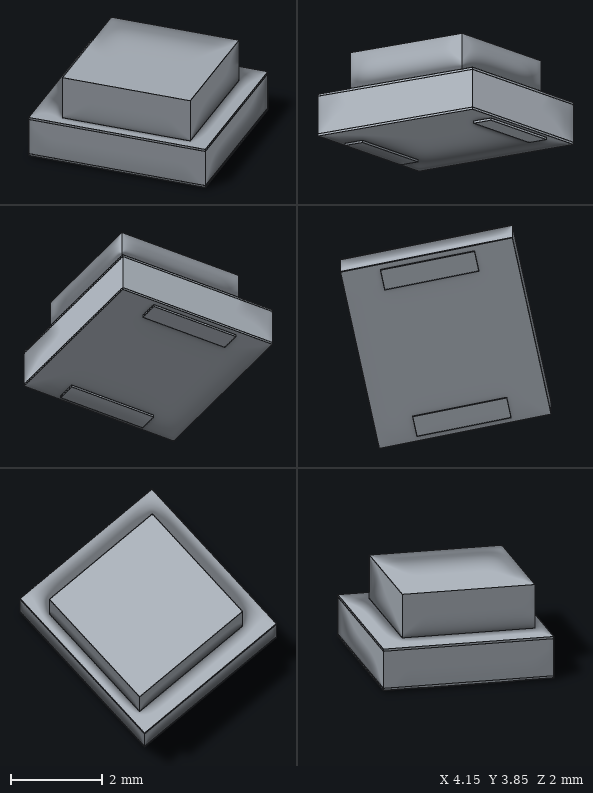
import cadquery as cq

board_length = 4.15
board_width = 3.85

pad_thickness = 0.05
bottom_film_thickness = 0.05
core_thickness = 0.85
top_film_thickness = 0.05
total_height = 2.0

block_side = 3.0
block_margin_right = 0.45
block_margin_front = 0.25

pad_length = 0.465
pad_width = 2.11
pad_end_margin = 0.12

bottom_film_base = pad_thickness
core_base = bottom_film_base + bottom_film_thickness
top_film_base = core_base + core_thickness
block_base = top_film_base + top_film_thickness
block_height = total_height - block_base

block_center_x = board_length / 2 - block_margin_right - block_side / 2
block_center_y = -board_width / 2 + block_margin_front + block_side / 2
pad_offset_x = board_length / 2 - pad_end_margin - pad_length / 2


def make_slab(length, width, height, base, center_x=0.0, center_y=0.0):
    """Rectangular solid standing on height base, centered in X and Y on the given point."""
    slab = cq.Workplane("XY").box(length, width, height, centered=(True, True, False))
    return slab.translate((center_x, center_y, base))


def make_board_layer(thickness, base):
    """Layer that covers the full board footprint."""
    return make_slab(board_length, board_width, thickness, base)


def make_pad(center_x):
    """Contact pad on the underside of the board, centered in Y."""
    return make_slab(pad_length, pad_width, pad_thickness, 0.0, center_x)


bottom_film = make_board_layer(bottom_film_thickness, bottom_film_base)
core = make_board_layer(core_thickness, core_base)
top_film = make_board_layer(top_film_thickness, top_film_base)
block = make_slab(block_side, block_side, block_height, block_base, block_center_x, block_center_y)
pads = [make_pad(side * pad_offset_x) for side in (-1, 1)]

result = cq.Compound.makeCompound(
    [bottom_film.val(), core.val(), top_film.val(), block.val(), *[pad.val() for pad in pads]]
)